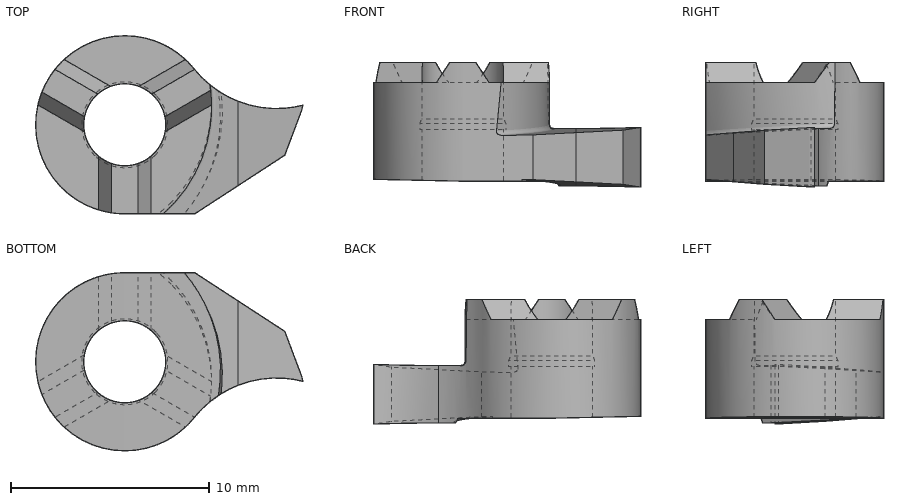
import cadquery as cq
import math


drum_diameter = 9.0
drum_radius = drum_diameter / 2
drum_height = 5.0
bore_radius = 2.07
groove_bottom = 2.62
groove_top = 3.16
groove_depth = 0.11
groove_flank = 0.23
relief_rise = 0.1

rib_count = 3
rib_first_angle = 30.0
rib_height = 1.01
rib_base_width = 2.65
rib_top_width = 1.32

overall_length = 13.5
tip_x = overall_length - drum_radius
flat_end_x = 3.54
heel_x = 8.09
heel_y = -1.54
land_x = 8.95
land_y = 0.75
rake_center_x = 7.67
rake_center_y = 6.15
split_x = 5.71

arm_mid_height = 1.22
arm_half_height = 1.28
flank_slope_x = 0.02
flank_slope_y = 0.05

wall_radius = 7.15
wall_center_x = -2.77
wall_center_y = 0.9
wall_lean = 0.08
wall_fillet = 0.22

step_radius = 7.6
step_center_y = 0.45
step_height = 0.4
step_flare = 0.2

reach = 2 * overall_length
top_height = drum_height + rib_height


def make_outline(bottom, height):
    """Prism with the outline of the drum, arm and tip."""
    center_distance = math.hypot(rake_center_x, rake_center_y)
    rake_radius = center_distance - drum_radius
    tangent_x = drum_radius * rake_center_x / center_distance
    tangent_y = drum_radius * rake_center_y / center_distance
    tip_y = rake_center_y - math.sqrt(rake_radius**2 - (tip_x - rake_center_x) ** 2)
    return (
        cq.Workplane("XY", origin=(0, 0, bottom))
        .moveTo(0, -drum_radius)
        .lineTo(flat_end_x, -drum_radius)
        .lineTo(heel_x, heel_y)
        .lineTo(land_x, land_y)
        .lineTo(tip_x, tip_y)
        .threePointArc((rake_center_x, rake_center_y - rake_radius), (tangent_x, tangent_y))
        .threePointArc((-drum_radius, 0), (0, -drum_radius))
        .close()
        .extrude(height)
    )


def make_ribs():
    """Trapezoidal radial ribs, running outward from the bore axis."""
    ribs = cq.Workplane("XY")
    for index in range(rib_count):
        rib = (
            cq.Workplane("YZ")
            .moveTo(-rib_base_width / 2, drum_height)
            .lineTo(rib_base_width / 2, drum_height)
            .lineTo(rib_top_width / 2, top_height)
            .lineTo(-rib_top_width / 2, top_height)
            .close()
            .extrude(2 * drum_radius)
        )
        angle = rib_first_angle + index * 360 / rib_count
        ribs = ribs.add(rib.rotate((0, 0, 0), (0, 0, 1), angle))
    return ribs.combine()


def make_upper_cutter():
    """Space above the arm's upper flank and outside the leaning wall."""
    flank = cq.Plane(
        origin=(0, 0, arm_mid_height + arm_half_height),
        xDir=(1, 0, flank_slope_x),
        normal=(-flank_slope_x, -flank_slope_y, 1),
    )
    space = cq.Workplane(flank).rect(reach, reach).extrude(drum_height)
    lean_axis = cq.Vector(0, -wall_lean, 1)
    start = cq.Vector(wall_center_x, wall_center_y, drum_height) - lean_axis * overall_length
    core = cq.Solid.makeCylinder(wall_radius, reach, start, lean_axis)
    space = space.cut(cq.Workplane(core))
    return space.edges("%ELLIPSE").edges("<Z").fillet(wall_fillet)


def make_lower_cutter():
    """Space below the arm's lower flank, and below the drum inside the sloping step."""
    flank = cq.Plane(
        origin=(0, 0, arm_mid_height - arm_half_height),
        xDir=(1, 0, -flank_slope_x),
        normal=(flank_slope_x, flank_slope_y, 1),
    )
    below_flank = cq.Workplane(flank).rect(reach, reach).extrude(-drum_height)
    step_center = cq.Vector(wall_center_x, step_center_y, 0)
    core = cq.Solid.makeCylinder(step_radius, drum_height, step_center)
    below_drum = cq.Solid.makeCone(
        step_radius,
        step_radius + step_flare,
        step_height,
        step_center,
        cq.Vector(0, 0, -1),
    )
    return below_flank.cut(cq.Workplane(core)).union(cq.Workplane(below_drum))


def make_relief():
    """Wedge that lifts the lower face towards the back of the drum."""
    return (
        cq.Workplane("XZ")
        .polyline([(0, 0), (-drum_radius, 0), (-drum_radius, relief_rise)])
        .close()
        .extrude(drum_radius, both=True)
    )


def make_bore():
    """Through bore with a shallow ring groove, flat below and sloping above."""
    groove_radius = bore_radius + groove_depth
    return (
        cq.Workplane("XZ")
        .moveTo(0, -step_height)
        .lineTo(bore_radius, -step_height)
        .lineTo(bore_radius, groove_bottom)
        .lineTo(groove_radius, groove_bottom)
        .lineTo(groove_radius, groove_top - groove_flank)
        .lineTo(bore_radius, groove_top)
        .lineTo(bore_radius, top_height)
        .lineTo(0, top_height)
        .close()
        .revolve(360, (0, 0), (0, 1))
    )


def make_blank():
    """Holder and tip before they are parted at the joint."""
    prism = make_outline(-step_height, drum_height + step_height)
    rib_limit = make_outline(drum_height, rib_height)
    blank = prism.union(make_ribs().intersect(rib_limit))
    return blank.cut(make_upper_cutter()).cut(make_lower_cutter()).cut(make_relief()).cut(make_bore())


def make_tip_space():
    """Half-space beyond the joint."""
    return cq.Workplane("YZ", origin=(split_x, 0, 0)).rect(reach, reach).extrude(reach)


def make_holder(blank):
    """Drum, ribs and root of the arm."""
    return blank.cut(make_tip_space())


def make_tip(blank):
    """Hooked cutting tip at the end of the arm."""
    return blank.intersect(make_tip_space())


blank = make_blank()
holder = make_holder(blank)
tip = make_tip(blank)
result = cq.Compound.makeCompound([holder.val(), tip.val()])